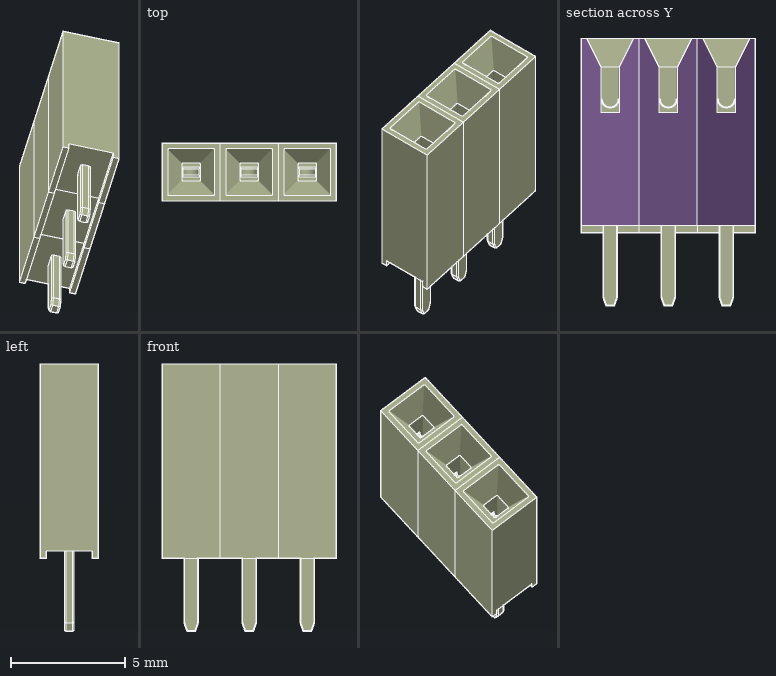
import cadquery as cq
import math

unit_count = 3
pitch = 2.54
total_height = 11.7
housing_height = 8.51
pin_length = total_height - housing_height

foot_width = 0.27
foot_height = 0.32

rim_wall = 0.25
funnel_mouth = pitch - 2 * rim_wall
funnel_depth = 1.25
throat_size = 0.8
throat_depth = 1.99
socket_corner_radius = 0.05

blade_thickness = 0.43
bevel_depth = 0.08
bevel_width = 0.04
pin_width = 0.64
tip_width = 0.37
tip_length = 0.37
pin_embed = 0.12
saddle_radius = 0.35
saddle_height = 0.58

channel_top = foot_height
funnel_bottom = housing_height - funnel_depth
throat_floor = funnel_bottom - throat_depth


def rounded_square(size, z):
    """Horizontal square with small round corners, centred on the Z axis."""
    outline = cq.Sketch().rect(size, size).vertices().fillet(socket_corner_radius)
    return outline.moved(cq.Location((0, 0, z)))


def socket_cavity():
    """Funnel with the straight throat under it."""
    throat = (
        cq.Workplane("XY", origin=(0, 0, throat_floor))
        .placeSketch(rounded_square(throat_size, 0))
        .extrude(throat_depth)
    )
    funnel = (
        cq.Workplane("XY", origin=(0, 0, funnel_bottom))
        .placeSketch(rounded_square(throat_size, 0), rounded_square(funnel_mouth, funnel_depth))
        .loft()
    )
    return throat.union(funnel)


def saddle():
    """Blade across the throat with a half-round hollow in its top, bevelled at both faces."""
    half_y = blade_thickness / 2
    blade = cq.Workplane("XY", origin=(0, 0, throat_floor)).box(
        throat_size, blade_thickness, saddle_height, centered=(True, True, False)
    )
    hollow = (
        cq.Workplane("XY", origin=(0, 0, throat_floor + saddle_height))
        .moveTo(0, -half_y)
        .lineTo(saddle_radius + bevel_width, -half_y)
        .lineTo(saddle_radius, -half_y + bevel_depth)
        .lineTo(saddle_radius, half_y - bevel_depth)
        .lineTo(saddle_radius + bevel_width, half_y)
        .lineTo(0, half_y)
        .close()
        .revolve(360, (0, 0), (0, 1))
    )
    return blade.cut(hollow)


def pin_outline(y):
    """Outline of the pin across its broad face, in the plane at the given Y, facing -Y."""
    tip_end = -pin_length
    tip_start = tip_end + tip_length
    root = channel_top + pin_embed
    return (
        cq.Workplane("XZ", origin=(0, y, 0))
        .moveTo(-tip_width / 2, tip_end)
        .lineTo(tip_width / 2, tip_end)
        .lineTo(pin_width / 2, tip_start)
        .lineTo(pin_width / 2, root)
        .lineTo(-pin_width / 2, root)
        .lineTo(-pin_width / 2, tip_start)
        .close()
    )


def pin():
    """Flat pin with a tapered tip and bevels all around its two broad faces."""
    half_core = blade_thickness / 2 - bevel_depth
    bevel_angle = math.degrees(math.atan2(bevel_width, bevel_depth))
    core = pin_outline(half_core).extrude(2 * half_core)
    front_bevel = pin_outline(-half_core).extrude(bevel_depth, taper=bevel_angle)
    back_bevel = front_bevel.mirror("XZ")
    return core.union(front_bevel).union(back_bevel)


def socket_unit():
    """One housing block with its socket, contact saddle and pin, all in one solid."""
    block = cq.Workplane("XY").box(pitch, pitch, housing_height, centered=(True, True, False))
    channel = cq.Workplane("XY").box(
        pitch, pitch - 2 * foot_width, foot_height, centered=(True, True, False)
    )
    return block.cut(channel).cut(socket_cavity()).union(saddle()).union(pin())


unit = socket_unit()
units = []
for index in range(unit_count):
    x = (index - (unit_count - 1) / 2) * pitch
    units.append(unit.translate((x, 0, 0)).solids().val())

result = cq.Compound.makeCompound(units)